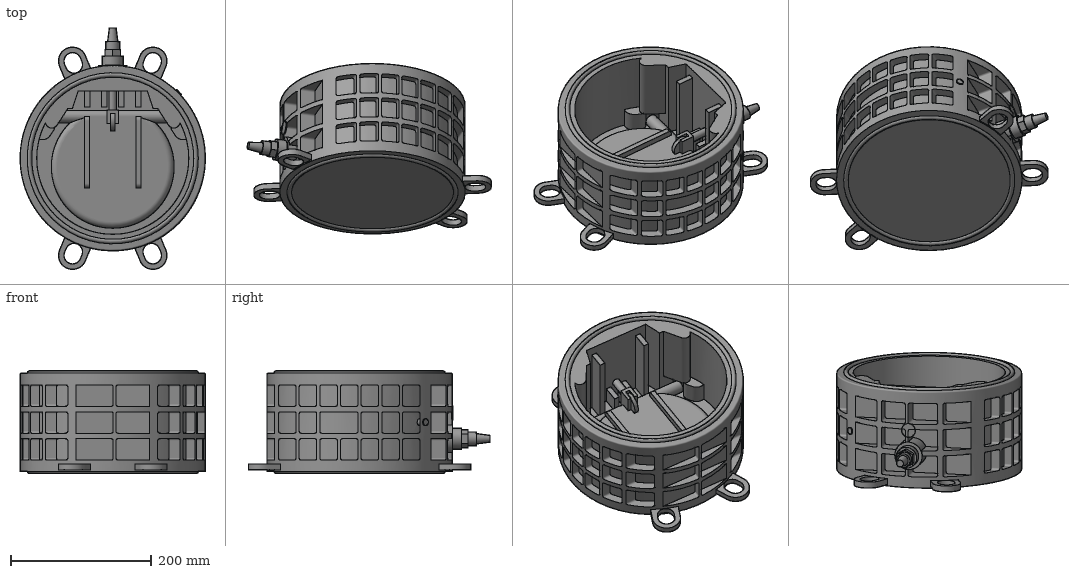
import cadquery as cq
import math

BODY_R = 132.0
BODY_HEIGHT = 140.0
RIM_FILLET = 2.0
BEAD_OUTER_R = 243.77 / 2
BEAD_INNER_R = 230.76 / 2
BEAD_R = (BEAD_OUTER_R - BEAD_INNER_R) / 2
BEAD_PATH_R = (BEAD_OUTER_R + BEAD_INNER_R) / 2
BODY_BOTTOM = BEAD_R
BODY_TOP = BODY_BOTTOM + BODY_HEIGHT

BORE_R = 108.3
BACK_WALL_Y = 95.7
BACK_WALL_HALF = 49.3
STEP_Y = 70.8
STEP_INNER_X = 57.5
STEP_OUTER_X = 64.0
FLANK_SLOPE = math.radians(-57.0)
UPPER_NOSE_R = 9.0
UPPER_NOSE_DISTANCE = 28.2
LEDGE_NOSE_R = 13.6
LEDGE_NOSE_DISTANCE = 45.4
LEDGE_Z = 48.8
RECESS_BACK_X = 80.0
LEDGE_HEEL_R = 9.5
LEDGE_HEEL_DISTANCE = 37.5

SHAFT_R = 18.01 / 2
SHAFT_Y = 59.15
SHAFT_HALF_LENGTH = 85.5
SHAFT_END_FILLET = 3.0
FLAP_R = 87.5
FLAP_EDGE_R = 8.5
FLAP_Y = -12.2
FLOOR_Z = 18.5
SHAFT_Z = FLOOR_Z + SHAFT_R
FLAP_TOP_Z = SHAFT_Z + SHAFT_R
RIB_WIDTH = 6.9
RIB_X = 36.8
RIB_FRONT_Y = -42.0
RIB_HEIGHT = 9.0
RIB_END_R = 5.7
LATCH_WIDTH = 15.8
LATCH_FRONT_Y = 49.2
LATCH_BACK_Y = 69.0
LATCH_TOP_Z = 60.0
SLOT_WIDTH = 5.8
SLOT_BACK_Y = 63.9
HOOK_R = 15.1
HOOK_Y = 54.0
HOOK_Z = 43.0
ARM_WIDTH = 10.0
ARM_BACK_Y = 82.5
ARM_TOP_Z = 45.8
PIN_R = 11.37 / 2

FIN_WIDTH = 7.6
FIN_FRONT_Y = 72.8
OUTER_FIN_X = 36.3
OUTER_FIN_TOP = 128.6
INNER_FIN_X = 12.3
INNER_FIN_TOP = 44.0

ROW_CENTER_Z = 72.75
ROW_PITCH = 38.3
POCKET_HEIGHT = 30.6
POCKET_CORNER_R = 3.0
POCKET_REACH = 140.0
SIDE_FLOOR_R = 121.0
SIDE_COLUMNS = 7
SIDE_PITCH = 29.4
SIDE_WIDTH = 25.0
SIDE_FIRST_Y = -103.0
SIDE_START_X = 30.0
WIDE_POCKET_COLUMNS = (2, 3)
FRONT_FLOOR_Y = -121.1
FRONT_OPEN_X = 62.0
BACK_FLOOR_Y = 101.4
BACK_OPEN_X = 95.0
CENTER_RIB_X = 2.6
CENTER_RIB_WIDTH = 4.0
BACK_RIB_X = 44.6
BACK_RIB_WIDTH = 7.0

GLAND_Z = 49.6
GLAND_PAD_R = 20.0
GLAND_PAD_Y = 132.4
GLAND_FLANGE_R = 30.11 / 2
GLAND_FLANGE_Y = 145.4
HEX_ACROSS_CORNERS = 26.0
HEX_Y = 154.6
GLAND_COLLAR_R = 20.0 / 2
GLAND_COLLAR_Y = 166.2
CONE_BASE_R = 7.5
CONE_TIP_R = 5.0

BACK_STUD_R = 10.0
BACK_STUD_ROOT = 131.0
BACK_STUD_Y = 132.6
BACK_STUD_Z = 86.5
SIDE_STUD_R = 5.0
SIDE_STUD_REACH = 133.6
SIDE_STUD_ANGLE = 45.0
SIDE_STUD_ROOT = 110.0

LUG_ANGLE = 22.5
LUG_RADIAL = 149.7
LUG_R = 20.0
LUG_HOLE_R = 12.0
LUG_SLOT_SHIFT = 5.4
LUG_BOTTOM = 5.25
LUG_THICKNESS = 8.7
LUG_ROOT = 115.0

OVERALL_Y = 343.95
LUG_TIP_Y = LUG_RADIAL * math.cos(math.radians(LUG_ANGLE)) + LUG_R
GLAND_TIP_Y = OVERALL_Y - LUG_TIP_Y


def block(x0, x1, y0, y1, z0, z1):
    """Axis-aligned box between the given limits."""
    return cq.Workplane("XY").box(x1 - x0, y1 - y0, z1 - z0, centered=False).translate((x0, y0, z0))


def rod_y(radius, y0, y1, z):
    """Round bar along +Y, centered on X = 0."""
    plane = cq.Plane(origin=(0, y0, z), xDir=(1, 0, 0), normal=(0, 1, 0))
    return cq.Workplane(plane).circle(radius).extrude(y1 - y0)


def both_sides(shape):
    """The shape together with its mirror image across X = 0."""
    return shape.union(shape.mirror("YZ"))


def make_body():
    """Plain drum with a rounded top rim and a half-round sealing bead on each end."""
    body = cq.Workplane("XY").workplane(offset=BODY_BOTTOM).circle(BODY_R).extrude(BODY_HEIGHT)
    body = body.faces(">Z").edges().fillet(RIM_FILLET)
    for z in (BODY_BOTTOM, BODY_TOP):
        bead = cq.Workplane("XY").add(cq.Solid.makeTorus(BEAD_PATH_R, BEAD_R, cq.Vector(0, 0, z)))
        body = body.union(bead)
    return body


def flank_point(distance, offset=0.0):
    """Point along the slanted cavity flank, moved sideways into the wall by offset."""
    along = (math.cos(FLANK_SLOPE), math.sin(FLANK_SLOPE))
    x = STEP_OUTER_X + distance * along[0] - offset * along[1]
    y = STEP_Y + distance * along[1] + offset * along[0]
    return x, y


def bore_crossing(center, radius):
    """Lower point where a nose circle meets the bore."""
    reach = math.hypot(center[0], center[1])
    bore_angle = math.acos((reach**2 + BORE_R**2 - radius**2) / (2 * reach * BORE_R))
    angle = math.atan2(center[1], center[0]) - bore_angle
    return BORE_R * math.cos(angle), BORE_R * math.sin(angle)


def mirrored(point):
    """The point mirrored across X = 0."""
    return -point[0], point[1]


def cavity_level(flank_start, heel_arc, nose_distance, nose_r, z0, z1):
    """Cavity slice: back wall, steps, optional heel arcs, flanks with round noses, then the bore."""
    center = flank_point(nose_distance, nose_r)
    nose_start = flank_point(nose_distance)
    nose_low = (center[0], center[1] - nose_r)
    nose_end = bore_crossing(center, nose_r)
    right = [(BACK_WALL_HALF, BACK_WALL_Y), (STEP_INNER_X, STEP_Y)] + flank_start
    left = [mirrored(point) for point in reversed(right)]
    outline = cq.Workplane("XY").workplane(offset=z0).polyline(left + right)
    if heel_arc:
        outline = outline.threePointArc(*heel_arc)
    outline = outline.lineTo(*nose_start).threePointArc(nose_low, nose_end)
    outline = outline.threePointArc((0, -BORE_R), mirrored(nose_end))
    outline = outline.threePointArc(mirrored(nose_low), mirrored(nose_start))
    if heel_arc:
        heel_middle, heel_end = heel_arc
        outline = outline.lineTo(*mirrored(heel_end))
        outline = outline.threePointArc(mirrored(heel_middle), left[0])
    return outline.close().extrude(z1 - z0)


def make_cavity():
    """Cutters for the cavity: the upper level and the lower level."""
    upper_start = [(STEP_OUTER_X, STEP_Y)]
    above_top = BODY_TOP + BEAD_R
    upper = cavity_level(upper_start, None, UPPER_NOSE_DISTANCE, UPPER_NOSE_R, LEDGE_Z, above_top)

    heel = flank_point(LEDGE_HEEL_DISTANCE, LEDGE_HEEL_R)
    lower_start = [(RECESS_BACK_X, STEP_Y), (heel[0], heel[1] + LEDGE_HEEL_R)]
    heel_arc = ((heel[0] - LEDGE_HEEL_R, heel[1]), flank_point(LEDGE_HEEL_DISTANCE))
    lower = cavity_level(lower_start, heel_arc, LEDGE_NOSE_DISTANCE, LEDGE_NOSE_R, FLOOR_Z, LEDGE_Z)
    return upper, lower


def grid_pocket(x0, x1, y0, y1, z, axis):
    """One pocket cutter with round corners, cut along the given axis."""
    cutter = block(x0, x1, y0, y1, z - POCKET_HEIGHT / 2, z + POCKET_HEIGHT / 2)
    return cutter.edges("|" + axis).fillet(POCKET_CORNER_R)


def side_pocket(first_column, last_column, z):
    """Pocket on the +X side reaching from one column to another, with a floor concentric to the body."""
    y0 = SIDE_FIRST_Y + first_column * SIDE_PITCH - SIDE_WIDTH / 2
    y1 = SIDE_FIRST_Y + last_column * SIDE_PITCH + SIDE_WIDTH / 2
    pocket = grid_pocket(SIDE_START_X, POCKET_REACH, y0, y1, z, "X")
    return pocket.cut(cq.Workplane("XY").circle(SIDE_FLOOR_R).extrude(BODY_TOP))


def make_pocket_row(z):
    """All pockets at one height: curved-floor pockets on the sides, flat-floor ones front and back."""
    side = cq.Workplane("XY")
    for column in range(SIDE_COLUMNS):
        side = side.add(side_pocket(column, column, z))
    row = both_sides(side.combine())

    rib_left = CENTER_RIB_X - CENTER_RIB_WIDTH / 2
    rib_right = CENTER_RIB_X + CENTER_RIB_WIDTH / 2
    for x0, x1 in ((-FRONT_OPEN_X, rib_left), (rib_right, FRONT_OPEN_X)):
        row = row.union(grid_pocket(x0, x1, -POCKET_REACH, FRONT_FLOOR_Y, z, "Y"))

    back_inner = BACK_RIB_X - BACK_RIB_WIDTH / 2
    back_outer = BACK_RIB_X + BACK_RIB_WIDTH / 2
    back_spans = (
        (-BACK_OPEN_X, -back_outer),
        (-back_inner, rib_left),
        (rib_right, back_inner),
        (back_outer, BACK_OPEN_X),
    )
    for x0, x1 in back_spans:
        row = row.union(grid_pocket(x0, x1, BACK_FLOOR_Y, POCKET_REACH, z, "Y"))
    return row


def make_flap():
    """Hinged flap with a rounded edge and two stiffening ribs."""
    flap = cq.Workplane("XY").workplane(offset=FLOOR_Z).center(0, FLAP_Y)
    flap = flap.circle(FLAP_R).extrude(FLAP_TOP_Z - FLOOR_Z)
    flap = flap.faces(">Z").edges().fillet(FLAP_EDGE_R)
    flap = flap.cut(block(-FLAP_R, FLAP_R, SHAFT_Y, BODY_R, FLOOR_Z, BODY_TOP))
    rib_left = RIB_X - RIB_WIDTH / 2
    rib = block(rib_left, rib_left + RIB_WIDTH, RIB_FRONT_Y, SHAFT_Y, SHAFT_Z, FLAP_TOP_Z + RIB_HEIGHT)
    rib = rib.faces(">Z").edges("|X").fillet(RIB_END_R)
    return flap.union(both_sides(rib))


def make_shaft():
    """Hinge shaft with rounded ends."""
    plane = cq.Plane(origin=(-SHAFT_HALF_LENGTH, SHAFT_Y, SHAFT_Z), xDir=(0, 1, 0), normal=(1, 0, 0))
    shaft = cq.Workplane(plane).circle(SHAFT_R).extrude(2 * SHAFT_HALF_LENGTH)
    return shaft.faces("<X or >X").edges().fillet(SHAFT_END_FILLET)


def make_latch():
    """Slotted latch block with a round hook in front and an arm and pin behind."""
    half = LATCH_WIDTH / 2
    slot_half = SLOT_WIDTH / 2
    latch = block(-half, half, LATCH_FRONT_Y, LATCH_BACK_Y, SHAFT_Z, LATCH_TOP_Z)
    latch = latch.cut(block(-slot_half, slot_half, LATCH_FRONT_Y, SLOT_BACK_Y, FLAP_TOP_Z, LATCH_TOP_Z))
    plane = cq.Plane(origin=(-slot_half, HOOK_Y, HOOK_Z), xDir=(0, 1, 0), normal=(1, 0, 0))
    hook = cq.Workplane(plane).circle(HOOK_R).extrude(SLOT_WIDTH)
    hook = hook.intersect(block(-half, half, 0, SLOT_BACK_Y, SHAFT_Z, LATCH_TOP_Z))
    arm_half = ARM_WIDTH / 2
    arm = block(-arm_half, arm_half, LATCH_BACK_Y, ARM_BACK_Y, SHAFT_Z, ARM_TOP_Z)
    pin_front = (SLOT_BACK_Y + LATCH_BACK_Y) / 2
    return latch.union(hook).union(arm).union(rod_y(PIN_R, pin_front, BACK_WALL_Y, GLAND_Z))


def make_fins():
    """Two tall outer fins and two low inner fins on the back wall."""
    fins = cq.Workplane("XY")
    for x, top in ((OUTER_FIN_X, OUTER_FIN_TOP), (INNER_FIN_X, INNER_FIN_TOP)):
        fins = fins.add(block(x - FIN_WIDTH / 2, x + FIN_WIDTH / 2, FIN_FRONT_Y, BACK_WALL_Y, FLOOR_Z, top))
    return both_sides(fins.combine())


def make_gland():
    """Cable gland: pad, flange, hexagon, collar and tapered sleeve."""
    gland = rod_y(GLAND_PAD_R, BACK_FLOOR_Y, GLAND_PAD_Y, GLAND_Z)
    gland = gland.union(rod_y(GLAND_FLANGE_R, GLAND_PAD_Y, GLAND_FLANGE_Y, GLAND_Z))
    hex_plane = cq.Plane(origin=(0, GLAND_FLANGE_Y, GLAND_Z), xDir=(0, 0, 1), normal=(0, 1, 0))
    hex_nut = cq.Workplane(hex_plane).polygon(6, HEX_ACROSS_CORNERS).extrude(HEX_Y - GLAND_FLANGE_Y)
    gland = gland.union(hex_nut)
    gland = gland.union(rod_y(GLAND_COLLAR_R, HEX_Y, GLAND_COLLAR_Y, GLAND_Z))
    cone = cq.Solid.makeCone(
        CONE_BASE_R,
        CONE_TIP_R,
        GLAND_TIP_Y - GLAND_COLLAR_Y,
        pnt=cq.Vector(0, GLAND_COLLAR_Y, GLAND_Z),
        dir=cq.Vector(0, 1, 0),
    )
    return gland.union(cq.Workplane("XY").add(cone))


def make_studs():
    """Two shallow round studs on the outside."""
    back = rod_y(BACK_STUD_R, BACK_STUD_ROOT, BACK_STUD_Y, BACK_STUD_Z)
    middle_z = BODY_BOTTOM + BODY_HEIGHT / 2
    side = rod_y(SIDE_STUD_R, SIDE_STUD_ROOT, SIDE_STUD_REACH, middle_z)
    side = side.rotate((0, 0, 0), (0, 0, 1), -SIDE_STUD_ANGLE)
    return back.union(side)


def make_lug():
    """Lug pointing along +Y, with a slot stretched along the lug."""
    base = cq.Workplane("XY").workplane(offset=LUG_BOTTOM)
    lug = base.center(0, LUG_RADIAL).circle(LUG_R).extrude(LUG_THICKNESS)
    lug = lug.union(block(-LUG_R, LUG_R, LUG_ROOT, LUG_RADIAL, LUG_BOTTOM, LUG_BOTTOM + LUG_THICKNESS))
    slot_center = LUG_RADIAL - LUG_SLOT_SHIFT / 2
    slot = base.center(0, slot_center).slot2D(LUG_SLOT_SHIFT + 2 * LUG_HOLE_R, 2 * LUG_HOLE_R, 90)
    return lug.cut(slot.extrude(LUG_THICKNESS))


def make_lugs():
    """Four lugs placed symmetrically front and back."""
    lug = make_lug()
    lugs = cq.Workplane("XY")
    for angle in (LUG_ANGLE, -LUG_ANGLE, 180 + LUG_ANGLE, 180 - LUG_ANGLE):
        lugs = lugs.add(lug.rotate((0, 0, 0), (0, 0, 1), angle))
    return lugs.combine()


housing = make_body()
for row_index in (-1, 0, 1):
    housing = housing.cut(make_pocket_row(ROW_CENTER_Z + row_index * ROW_PITCH))
housing = housing.cut(side_pocket(*WIDE_POCKET_COLUMNS, ROW_CENTER_Z))
housing = housing.union(make_lugs()).union(make_gland()).union(make_studs())
for cutter in make_cavity():
    housing = housing.cut(cutter)

result = housing.union(make_fins()).union(make_flap()).union(make_shaft()).union(make_latch())